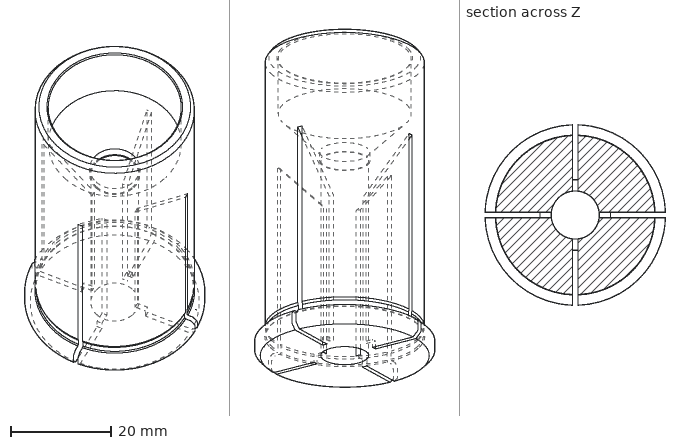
import cadquery as cq
import math

length = 64.0
flange_radius = 36.0 / 2
body_radius = 31.75 / 2

flange_bottom_chamfer = 1.15
flange_band_top = 3.2
flange_top = 4.1
flange_top_chamfer = flange_top - flange_band_top
flange_edge_fillet = 0.5
match_tolerance = 0.005

groove_radius = 15.7
groove_root_chamfer = 0.25
groove_top = 5.6
body_start = 6.2

lead_height = 1.0
lead_inset = 0.5
edge_break = 0.25

bore_radius = 9.55 / 2
relief_radius = 10.0 / 2
relief_depth = 1.9
socket_radius = 26.5 / 2
socket_depth = 12.0
socket_chamfer = 0.25
cone_half_angle = 45.0

slot_count = 4
slot_width = 1.0
slot_top = 43.9
roof_angle = 45.0
web_height = 1.65
web_radius = 7.05


def is_rounded_flange_edge(edge):
    """True for the circles bounding the flange band and for the rim of the flange top."""
    if edge.geomType() != "CIRCLE":
        return False
    rounded_circles = [
        (flange_radius, flange_bottom_chamfer),
        (flange_radius, flange_band_top),
        (flange_radius - flange_top_chamfer, flange_top),
    ]
    position = (edge.radius(), edge.Center().z)
    return any(math.dist(position, circle) < match_tolerance for circle in rounded_circles)


def make_sleeve():
    """Revolve the outer profile about Z."""
    lead_radius = body_radius - lead_inset
    outline = [
        (0, 0),
        (flange_radius - flange_bottom_chamfer, 0),
        (flange_radius, flange_bottom_chamfer),
        (flange_radius, flange_band_top),
        (flange_radius - flange_top_chamfer, flange_top),
        (groove_radius + groove_root_chamfer, flange_top),
        (groove_radius, flange_top + groove_root_chamfer),
        (groove_radius, groove_top),
        (body_radius, body_start),
        (body_radius, length - lead_height),
        (lead_radius, length - edge_break),
        (lead_radius - edge_break, length),
        (0, length),
    ]
    sleeve = cq.Workplane("XZ").polyline(outline).close().revolve(360, (0, 0), (0, 1))
    return sleeve.edges().filter(is_rounded_flange_edge).fillet(flange_edge_fillet)


def make_bore():
    """Revolve the through bore, its relief, the cone and the socket."""
    cone_top = length - socket_depth
    cone_height = (socket_radius - relief_radius) / math.tan(math.radians(cone_half_angle))
    cone_bottom = cone_top - cone_height
    relief_bottom = cone_bottom - relief_depth
    outline = [
        (0, 0),
        (bore_radius, 0),
        (bore_radius, relief_bottom),
        (relief_radius, relief_bottom),
        (relief_radius, cone_bottom),
        (socket_radius, cone_top),
        (socket_radius, length - socket_chamfer),
        (socket_radius + socket_chamfer, length),
        (0, length),
    ]
    return cq.Workplane("XZ").polyline(outline).close().revolve(360, (0, 0), (0, 1))


def make_slot():
    """Radial slot along +X, open at the bottom outside a low web around the bore."""
    roof_slope = math.tan(math.radians(roof_angle))
    axis_height = slot_top - body_radius * roof_slope
    outer_height = axis_height + flange_radius * roof_slope
    outline = [
        (0, web_height),
        (web_radius, web_height),
        (web_radius, 0),
        (flange_radius, 0),
        (flange_radius, outer_height),
        (0, axis_height),
    ]
    return cq.Workplane("XZ").polyline(outline).close().extrude(slot_width / 2, both=True)


result = make_sleeve().cut(make_bore())
slot = make_slot()
for index in range(slot_count):
    angle = index * 360 / slot_count
    result = result.cut(slot.rotate((0, 0, 0), (0, 0, 1), angle))